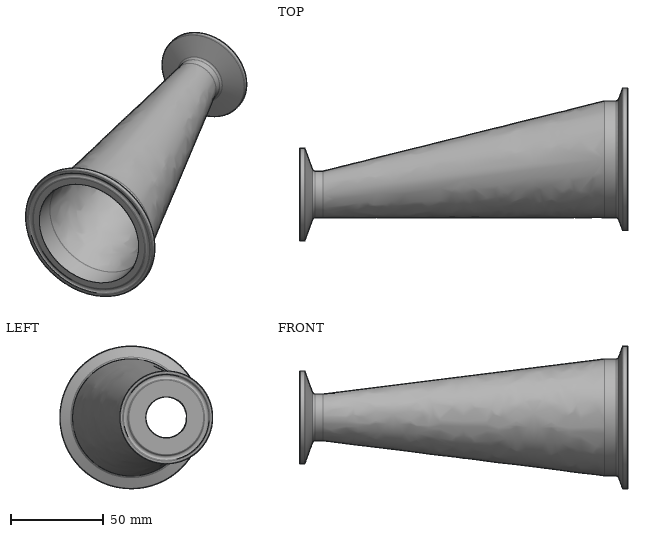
import cadquery as cq
import math

length = 177.8
weld_setback = 12.6
rim_width = 2.8
clamp_angle = 20.0
neck_fillet = 1.5
rim_fillet = 0.4

small_flange_dia, small_tube_dia, small_bore_dia = 50.3, 25.5, 22.0
large_flange_dia, large_tube_dia, large_bore_dia = 77.3, 63.5, 60.3

groove_rim_inset = 1.8
groove_width = 2.8
groove_depth = 0.9
groove_lip_fillet = 0.5

select_margin = 0.2

small_axis_y = 0.0
large_axis_y = (large_tube_dia - small_tube_dia) / 2


def disc_plane(x, axis_y):
    """Plane at x, centred on a tube axis and facing +X."""
    return cq.Workplane(cq.Plane((x, axis_y, 0), (0, 1, 0), (1, 0, 0)))


def circles_between(body, x_min, x_max, max_radius):
    """Circular edges lying between two X positions and inside a radius about the X axis."""
    region = cq.selectors.BoxSelector(
        (x_min - select_margin, -max_radius - select_margin, -max_radius - select_margin),
        (x_max + select_margin, max_radius + select_margin, max_radius + select_margin),
        boundingbox=True,
    )
    return body.edges("%CIRCLE").edges(region)


def solid_ferrule(flange_dia, tube_dia):
    """Ferrule without its bore; clamp face at X = 0 and tube running to +X."""
    flange_radius = flange_dia / 2
    tube_radius = tube_dia / 2
    cone_end = rim_width + (flange_radius - tube_radius) * math.tan(math.radians(clamp_angle))

    body = (
        cq.Workplane("XY")
        .lineTo(0, flange_radius)
        .lineTo(rim_width, flange_radius)
        .lineTo(cone_end, tube_radius)
        .lineTo(weld_setback, tube_radius)
        .lineTo(weld_setback, 0)
        .close()
        .revolve(360, (0, 0, 0), (1, 0, 0))
    )
    body = circles_between(body, cone_end, cone_end, flange_radius).fillet(neck_fillet)
    body = circles_between(body, 0, rim_width, flange_radius).fillet(rim_fillet)

    groove_outer = flange_radius - groove_rim_inset
    groove_inner = groove_outer - groove_width
    groove_middle = (groove_inner + groove_outer) / 2
    groove = (
        cq.Workplane("XY")
        .moveTo(0, groove_inner)
        .threePointArc((groove_depth, groove_middle), (0, groove_outer))
        .close()
        .revolve(360, (0, 0, 0), (1, 0, 0))
    )
    body = body.cut(groove)
    return circles_between(body, 0, 0, groove_outer).fillet(groove_lip_fillet)


def oblique_cone(small_dia, large_dia):
    """Straight-sided tube between the two ferrules, with offset end circles."""
    small_end = cq.Wire.makeCircle(
        small_dia / 2, cq.Vector(weld_setback, small_axis_y, 0), cq.Vector(1, 0, 0)
    )
    large_end = cq.Wire.makeCircle(
        large_dia / 2, cq.Vector(length - weld_setback, large_axis_y, 0), cq.Vector(1, 0, 0)
    )
    return cq.Workplane(cq.Solid.makeLoft([small_end, large_end], True))


small_ferrule = solid_ferrule(small_flange_dia, small_tube_dia).translate((0, small_axis_y, 0))
large_ferrule = (
    solid_ferrule(large_flange_dia, large_tube_dia)
    .mirror("YZ")
    .translate((length, large_axis_y, 0))
)

outside = oblique_cone(small_tube_dia, large_tube_dia).union(small_ferrule).union(large_ferrule)

small_bore = disc_plane(0, small_axis_y).circle(small_bore_dia / 2).extrude(weld_setback)
large_bore = disc_plane(length, large_axis_y).circle(large_bore_dia / 2).extrude(-weld_setback)
tapered_bore = oblique_cone(small_bore_dia, large_bore_dia)

result = outside.cut(tapered_bore).cut(small_bore).cut(large_bore)